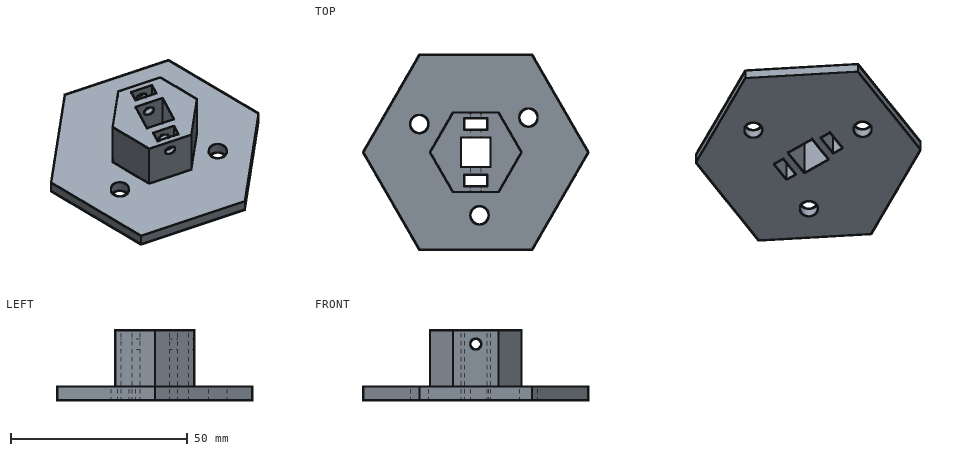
import cadquery as cq

plate_corner_width = 64.0
plate_thickness = 4.0

socket_corner_width = 26.0
total_height = 20.0
socket_height = total_height - plate_thickness

bore_side = 8.3
slot_length = 6.4
slot_width = 3.2
slot_offset = 8.0

screw_diameter = 3.0
screw_height = 16.0

mount_count = 3
mount_diameter = 5.1
mount_circle_radius = 17.9
mount_start_angle = 33.4


def make_body():
    plate = cq.Workplane("XY").polygon(6, plate_corner_width).extrude(plate_thickness)
    return (
        plate.faces(">Z").workplane()
        .polygon(6, socket_corner_width).extrude(socket_height)
    )


def make_vertical_openings():
    bore = cq.Workplane("XY").rect(bore_side, bore_side).extrude(total_height)
    slots = (
        cq.Workplane("XY")
        .pushPoints([(0, slot_offset), (0, -slot_offset)])
        .rect(slot_length, slot_width).extrude(total_height)
    )
    return bore.union(slots)


def make_screw_hole():
    return (
        cq.Workplane("XZ").center(0, screw_height)
        .circle(screw_diameter / 2).extrude(socket_corner_width / 2, both=True)
    )


def make_mount_holes():
    return (
        cq.Workplane("XY")
        .polarArray(mount_circle_radius, mount_start_angle, 360, mount_count)
        .circle(mount_diameter / 2).extrude(plate_thickness)
    )


result = (
    make_body()
    .cut(make_vertical_openings())
    .cut(make_screw_hole())
    .cut(make_mount_holes())
)